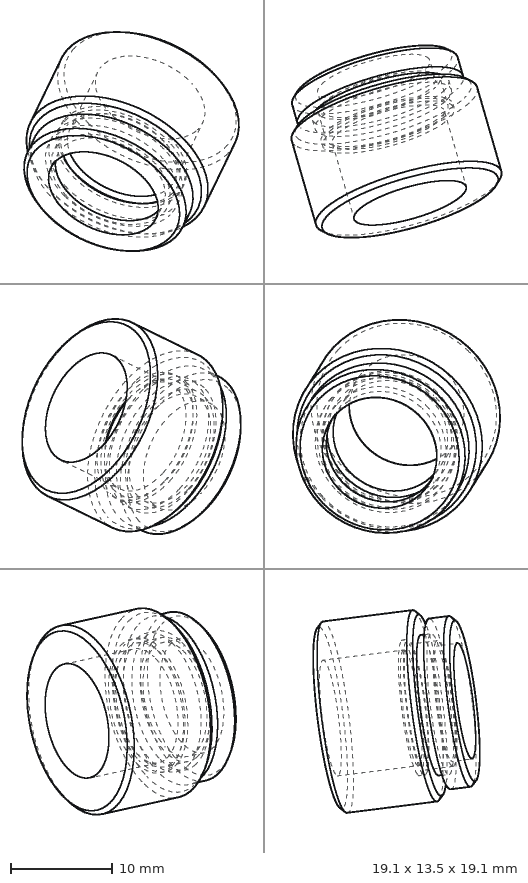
import cadquery as cq

collar_diameter = 17.0
collar_length = 2.5
neck_diameter = 14.0
neck_length = 1.0
body_diameter = 19.05
body_length = 10.0
edge_chamfer = 0.5

bore_diameter = 11.5
lip_length = 2.0
groove_diameter = 12.5
groove_width = 2.9
relief_diameter = 13.5
relief_width = 0.5

collar_radius = collar_diameter / 2
neck_radius = neck_diameter / 2
body_radius = body_diameter / 2
bore_radius = bore_diameter / 2
groove_radius = groove_diameter / 2
relief_radius = relief_diameter / 2

total_length = collar_length + neck_length + body_length
front_y = -total_length / 2
neck_y = front_y + collar_length
body_y = neck_y + neck_length
back_y = body_y + body_length
groove_y = front_y + lip_length
relief_y = groove_y + groove_width
relief_back_y = relief_y + relief_width

outside_corners = [
    (front_y, collar_radius - edge_chamfer),
    (front_y + edge_chamfer, collar_radius),
    (neck_y, collar_radius),
    (neck_y, neck_radius),
    (body_y, neck_radius),
    (body_y, body_radius - edge_chamfer),
    (body_y + edge_chamfer, body_radius),
    (back_y - edge_chamfer, body_radius),
    (back_y, body_radius - edge_chamfer),
]
inside_corners = [
    (back_y, bore_radius),
    (relief_back_y, bore_radius),
    (relief_back_y, relief_radius),
    (relief_y, relief_radius),
    (relief_y, groove_radius),
    (groove_y, groove_radius),
    (groove_y, bore_radius),
    (front_y, bore_radius),
]

half_section = cq.Workplane("YZ").polyline(outside_corners + inside_corners).close()

result = half_section.revolve(360, (0, 0, 0), (1, 0, 0))